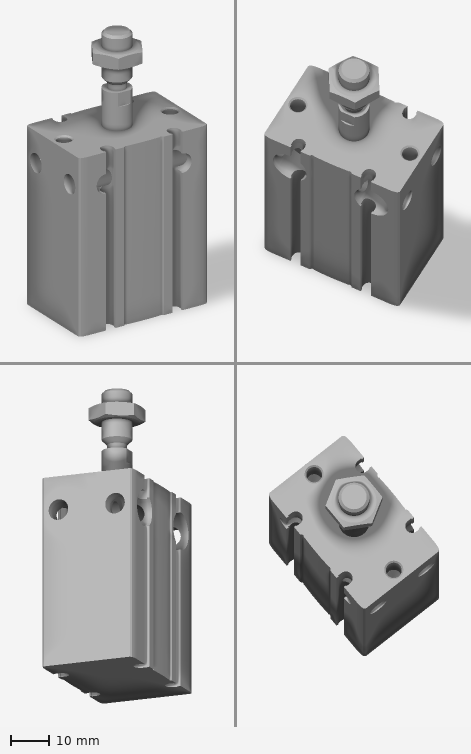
import cadquery as cq
import math

HOUSING_WIDTH = 26.0
HOUSING_LENGTH = 40.0
HOUSING_HEIGHT = 51.0
TOTAL_HEIGHT = 78.0

CORNER_CHAMFER = 0.5
BLEND_RADIUS = 8.0
BLEND_LENGTH = 2.1

PANEL_HALF_LENGTH = 5.3
PANEL_CROWN_X = 12.8
PANEL_EDGE_X = 12.6
RELIEF_FLOOR_X = 12.5
RELIEF_FOOT_X = 12.55
RELIEF_FOOT_Y = 5.8
RELIEF_OUTER_Y = 6.25

GROOVE_Y = 10.4
GROOVE_WIDTH = 3.6
GROOVE_DEPTH = 3.7
GROOVE_MOUTH = 3.05
GROOVE_LIP = 0.7

MOUNT_DIAMETER = 5.5
MOUNT_Z = 42.0
MOUNT_ALONG_Y_X = 8.0
MOUNT_ALONG_X_Y = 12.0
COUNTERBORE_DIAMETER = 10.0
COUNTERBORE_DEPTH = 8.0

TAP_DIAMETER = 4.1
TAP_RIM_DIAMETER = 5.0
TAP_Y = 16.5
TAP_DEPTH = 8.0
DRILL_POINT_ANGLE = 118.0

ROD_DIAMETER = 8.0
ROD_TIP_CHAMFER = 0.7
NECK_DIAMETER = 5.3
THREAD_END_Z = 64.9
SHOULDER_Z = 61.85
WRENCH_FLAT_WIDTH = 7.0
WRENCH_FLAT_HEIGHT = 3.8

HEXAGON_SIDES = 6
NUT_ACROSS_FLATS = 13.0
NUT_THICKNESS = 4.05
NUT_BOTTOM_Z = 69.65
NUT_FACE_DIAMETER = 11.7
NUT_CORNER_DROP = 0.5


def quarter_profile():
    """The X > 0, Y > 0 quarter of the housing extrusion, before any holes."""
    side_x = HOUSING_WIDTH / 2
    end_y = HOUSING_LENGTH / 2
    blend_end_y = end_y - CORNER_CHAMFER
    blend_start_y = blend_end_y - BLEND_LENGTH

    def blend_x(rise):
        """X of the corner arc at a rise along Y from its tangent point."""
        return side_x - BLEND_RADIUS + math.sqrt(BLEND_RADIUS**2 - rise**2)

    blend_mid = (blend_x(BLEND_LENGTH / 2), blend_start_y + BLEND_LENGTH / 2)
    blend_end_x = blend_x(BLEND_LENGTH)
    panel_crown = PANEL_CROWN_X - PANEL_EDGE_X
    panel_radius = (PANEL_HALF_LENGTH**2 + panel_crown**2) / (2 * panel_crown)

    return (
        cq.Workplane("XY")
        .lineTo(PANEL_CROWN_X, 0)
        .radiusArc((PANEL_EDGE_X, PANEL_HALF_LENGTH), -panel_radius)
        .lineTo(RELIEF_FLOOR_X, PANEL_HALF_LENGTH)
        .lineTo(RELIEF_FOOT_X, RELIEF_FOOT_Y)
        .lineTo(side_x, RELIEF_OUTER_Y)
        .lineTo(side_x, blend_start_y)
        .threePointArc(blend_mid, (blend_end_x, blend_end_y))
        .lineTo(blend_end_x - CORNER_CHAMFER, end_y)
        .lineTo(0, end_y)
        .close()
        .extrude(HOUSING_HEIGHT)
    )


def make_profile():
    """Full housing extrusion, mirrored from one quarter."""
    quarter = quarter_profile()
    half = quarter.union(quarter.mirror("XZ"))
    return half.union(half.mirror("YZ")).clean()


def sensor_groove(side, y):
    """Cutter for one groove: a round-ended slot behind a narrower mouth in the side face."""
    face_x = side * HOUSING_WIDTH / 2
    lip_x = face_x - side * GROOVE_LIP
    end_x = face_x - side * GROOVE_DEPTH
    round_x = end_x + side * GROOVE_WIDTH / 2
    half_mouth = GROOVE_MOUTH / 2
    half_width = GROOVE_WIDTH / 2
    return (
        cq.Workplane("XY", origin=(0, y, 0))
        .moveTo(face_x, half_mouth)
        .lineTo(lip_x, half_mouth)
        .lineTo(lip_x, half_width)
        .lineTo(round_x, half_width)
        .threePointArc((end_x, 0), (round_x, -half_width))
        .lineTo(lip_x, -half_width)
        .lineTo(lip_x, -half_mouth)
        .lineTo(face_x, -half_mouth)
        .close()
        .extrude(HOUSING_HEIGHT)
    )


def mounting_holes():
    """Cutters for through holes along Y and for through holes along X counterbored from the -X face."""
    cutters = []
    for side in (-1, 1):
        along_y = (
            cq.Workplane("XZ", origin=(side * MOUNT_ALONG_Y_X, HOUSING_LENGTH / 2, MOUNT_Z))
            .circle(MOUNT_DIAMETER / 2)
            .extrude(HOUSING_LENGTH)
        )
        entry = (-HOUSING_WIDTH / 2, side * MOUNT_ALONG_X_Y, MOUNT_Z)
        entry_plane = cq.Workplane("YZ", origin=entry)
        along_x = entry_plane.circle(MOUNT_DIAMETER / 2).extrude(HOUSING_WIDTH)
        counterbore = entry_plane.circle(COUNTERBORE_DIAMETER / 2).extrude(COUNTERBORE_DEPTH)
        cutters += [along_y, along_x, counterbore]
    return cutters


def tapped_hole(y):
    """Cutter for one drilled hole with a conical bottom and a 45 degree countersunk rim."""
    radius = TAP_DIAMETER / 2
    rim_radius = TAP_RIM_DIAMETER / 2
    countersink_depth = rim_radius - radius
    point_depth = radius / math.tan(math.radians(DRILL_POINT_ANGLE / 2))
    return (
        cq.Workplane("XZ", origin=(0, y, HOUSING_HEIGHT))
        .lineTo(rim_radius, 0)
        .lineTo(radius, -countersink_depth)
        .lineTo(radius, -TAP_DEPTH)
        .lineTo(0, -TAP_DEPTH - point_depth)
        .close()
        .revolve(360, (0, 0), (0, 1))
    )


def make_housing():
    """Cylinder housing: extrusion with grooves, mounting holes and tapped holes."""
    housing = make_profile()
    for side in (-1, 1):
        for y in (-GROOVE_Y, GROOVE_Y):
            housing = housing.cut(sensor_groove(side, y))
    for hole in mounting_holes():
        housing = housing.cut(hole)
    for side in (-1, 1):
        housing = housing.cut(tapped_hole(side * TAP_Y))
    return housing


def make_rod():
    """Piston rod standing on the housing: shank with wrench flats, neck and threaded end."""
    radius = ROD_DIAMETER / 2
    neck_radius = NECK_DIAMETER / 2
    neck_end_z = THREAD_END_Z - (radius - neck_radius)
    rod = (
        cq.Workplane("XZ")
        .moveTo(0, HOUSING_HEIGHT)
        .lineTo(radius, HOUSING_HEIGHT)
        .lineTo(radius, SHOULDER_Z)
        .lineTo(neck_radius, SHOULDER_Z)
        .lineTo(neck_radius, neck_end_z)
        .lineTo(radius, THREAD_END_Z)
        .lineTo(radius, TOTAL_HEIGHT - ROD_TIP_CHAMFER)
        .lineTo(radius - ROD_TIP_CHAMFER, TOTAL_HEIGHT)
        .lineTo(0, TOTAL_HEIGHT)
        .close()
        .revolve(360, (0, 0), (0, 1))
    )
    for side in (-1, 1):
        flat_cutter = (
            cq.Workplane("XY", origin=(side * (WRENCH_FLAT_WIDTH + ROD_DIAMETER) / 2, 0, SHOULDER_Z))
            .rect(ROD_DIAMETER, ROD_DIAMETER)
            .extrude(-WRENCH_FLAT_HEIGHT)
        )
        rod = rod.cut(flat_cutter)
    return rod


def make_nut():
    """Hexagonal nut with corners on the Y axis, bevelled on both faces, bored to fit the rod."""
    across_corners = NUT_ACROSS_FLATS / math.cos(math.pi / HEXAGON_SIDES)
    corner_radius = across_corners / 2
    face_radius = NUT_FACE_DIAMETER / 2
    hexagon = (
        cq.Workplane("XY", origin=(0, 0, NUT_BOTTOM_Z))
        .transformed(rotate=(0, 0, 90))
        .polygon(HEXAGON_SIDES, across_corners)
        .circle(ROD_DIAMETER / 2)
        .extrude(NUT_THICKNESS)
    )
    bevel_envelope = (
        cq.Workplane("XZ", origin=(0, 0, NUT_BOTTOM_Z))
        .lineTo(face_radius, 0)
        .lineTo(corner_radius, NUT_CORNER_DROP)
        .lineTo(corner_radius, NUT_THICKNESS - NUT_CORNER_DROP)
        .lineTo(face_radius, NUT_THICKNESS)
        .lineTo(0, NUT_THICKNESS)
        .close()
        .revolve(360, (0, 0), (0, 1))
    )
    return hexagon.intersect(bevel_envelope)


housing = make_housing()
rod = make_rod()
nut = make_nut()

result = cq.Compound.makeCompound([housing.val(), rod.val(), nut.val()])